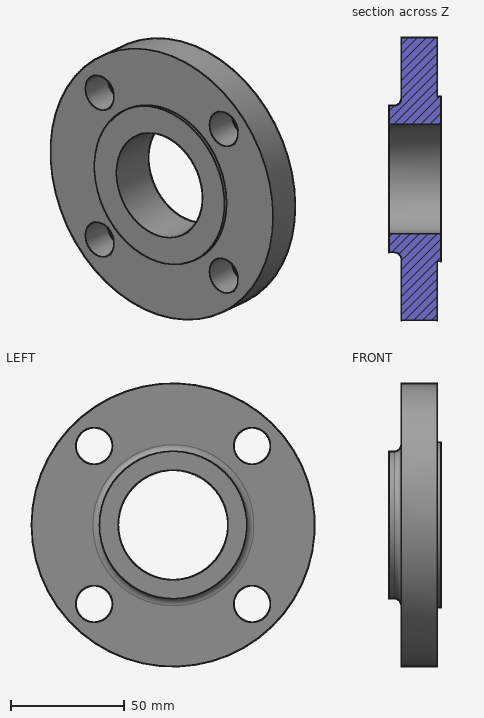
import cadquery as cq

flange_diameter = 125.0
flange_thickness = 16.0

hub_diameter = 65.0
hub_height = 5.4
hub_fillet_radius = 3.0
raised_face_diameter = 73.0
raised_face_height = 1.6

bore_diameter = 48.2
bolt_hole_diameter = 16.0
bolt_circle_diameter = 98.5
bolt_count = 4
first_bolt_angle = 45.0

overall_length = hub_height + flange_thickness + raised_face_height
flange_back = hub_height
flange_front = flange_back + flange_thickness


def disc(start_x, diameter, length):
    """Solid cylinder along +X starting at start_x."""
    return cq.Workplane("YZ", origin=(start_x, 0, 0)).circle(diameter / 2).extrude(length)


def hub():
    """Hub of revolution whose concave fillet flares out to the flange."""
    radius = hub_diameter / 2
    fillet_start = flange_back - hub_fillet_radius
    return (
        cq.Workplane("XY")
        .lineTo(0, radius)
        .lineTo(fillet_start, radius)
        .radiusArc((flange_back, radius + hub_fillet_radius), -hub_fillet_radius)
        .lineTo(flange_back, 0)
        .close()
        .revolve(360, (0, 0, 0), (1, 0, 0))
    )


def bolt_holes():
    """Through-hole cutters spaced evenly on the bolt circle."""
    return (
        cq.Workplane("YZ")
        .polarArray(bolt_circle_diameter / 2, first_bolt_angle, 360, bolt_count)
        .circle(bolt_hole_diameter / 2)
        .extrude(overall_length)
    )


flange = disc(flange_back, flange_diameter, flange_thickness)
raised_face = disc(flange_front, raised_face_diameter, raised_face_height)
bore = disc(0, bore_diameter, overall_length)

result = flange.union(hub()).union(raised_face).cut(bore).cut(bolt_holes())